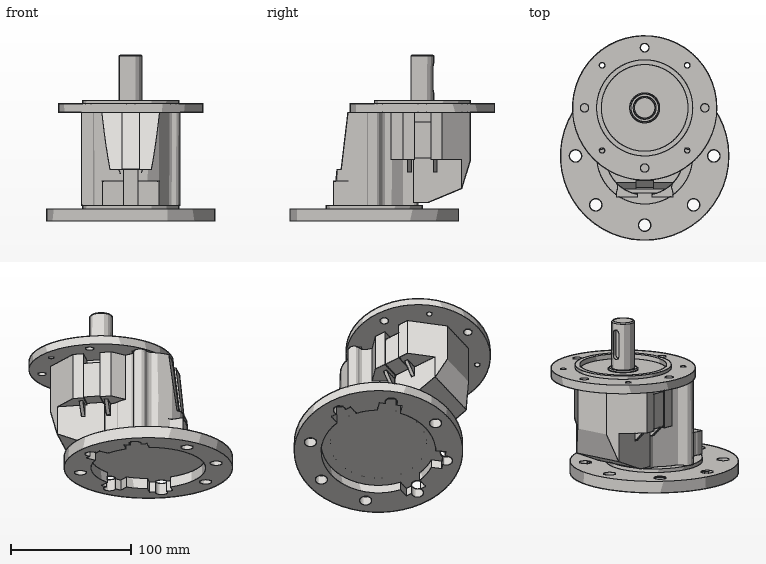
import cadquery as cq
import math

OVERALL_LENGTH = 170.0
BASE_DIAMETER = 140.0
BASE_THICKNESS = 10.0
PILOT_DIAMETER = 79.9
BASE_PILOT_TOP = 13.1
BASE_BOLT_CIRCLE = 115.0
BASE_BOLT_HOLE = 10.0
BASE_BOLT_COUNT = 8
BASE_RECESS_DIAMETER = 95.2
BASE_RECESS_DEPTH = 9.0
BASE_SLOT_WIDTH = 19.4
BASE_SLOT_REACH = 55.2
BASE_SLOT_ANGLES = (0, 45, 135, 180)

TOP_DIAMETER = 120.0
TOP_FLANGE_BOTTOM = 90.3
TOP_FLANGE_TOP = 97.5
TOP_PILOT_TOP = 100.3
RECESS_DIAMETER = 72.0
RECESS_DEPTH = 4.0
TOP_BOLT_CIRCLE = 100.0
TOP_BOLT_HOLE = 7.0
TOP_SCREW_HOLE = 4.5
TOP_HOLE_COUNT = 4
AXIS_OFFSET = OVERALL_LENGTH - (BASE_DIAMETER + TOP_DIAMETER) / 2
RECESS_FLOOR = TOP_PILOT_TOP - RECESS_DEPTH

SHAFT_TOP = 138.0
SHAFT_DIAMETER = 19.0
SHAFT_CHAMFER = 1.0
COLLAR_DIAMETER = 25.0
COLLAR_HEIGHT = 1.5
COLLAR_CHAMFER = 1.0
KEYWAY_WIDTH = 6.0
KEYWAY_LENGTH = 25.0
KEYWAY_DEPTH = 3.5
KEYWAY_TOP_GAP = 6.6

COLUMN_RADIUS = 32.5
SIDE_BOSS_DIAMETER = 10.7
SIDE_BOSS_OFFSET = 35.7
SIDE_BOSS_FILLET = 6.8
PEDESTAL_WIDTH = 42.8
PEDESTAL_BACK = 36.4
PEDESTAL_FILLET = 11.0
PEDESTAL_CORNER = 5.3

CASE_WIDTH = 78.9
CASE_BACK = AXIS_OFFSET + PILOT_DIAMETER / 2
CASE_BACK_CHAMFER = 23.8
CASE_FRONT = 13.6
CASE_FRONT_CHAMFER = 10.2
CASE_BOTTOM = 51.0
SLOT_FRONT = 33.3
SLOT_BACK = 47.3
PAD_WIDTH = 76.5
PAD_BOTTOM = 52.2
PAD_TOP = 82.1

SUMP_WIDTH = 46.2
SUMP_FRONT = 32.6
SUMP_BOTTOM = 15.3
SUMP_FLOOR_BACK = 44.7
SUMP_KNEE_BACK = 72.8
SUMP_KNEE_HEIGHT = 27.0
SUMP_BACK_HEIGHT = 50.3
GUSSET_SPACING = 21.2
GUSSET_THICKNESS = 3.0
GUSSET_HEIGHT = 10.2

TAPER_TOP_FRONT = 22.0
TAPER_FOOT_FRONT = 27.5
LEDGE_FRONT = 31.0
LEDGE_HEIGHT = 43.0
LOWER_TAPER_SLOPE = 0.1
UPPER_GROOVE_WIDTH = 14.3
UPPER_GROOVE_DEPTH = 1.5
UPPER_GROOVE_SILL = 0.3
LOWER_GROOVE_WIDTH = 12.0
FOOT_WIDTH = 47.0
FOOT_FRONT = 34.0
FOOT_TOP = 33.2
FOOT_WAIST_WIDTH = 44.9
FOOT_WAIST_FRONT = 25.8
FOOT_ROOT_FRONT = 21.8
FOOT_FLARE_WIDTH = 46.2
FOOT_FLARE_BACK = 28.7
FOOT_FLARE_FRONT = 30.8


def disc(diameter, bottom, top, center_y=0.0):
    """Upright cylinder between two heights."""
    return cq.Workplane("XY", origin=(0, center_y, bottom)).circle(diameter / 2).extrude(top - bottom)


def block(width, front, back, bottom, top):
    """Box centred on X, between two Y positions and two heights."""
    size = (width, back - front, top - bottom)
    return cq.Workplane("XY", origin=(0, front, bottom)).box(*size, centered=(True, False, False))


def side_prism(points, width):
    """Prism centred on X from a (Y, Z) outline."""
    return cq.Workplane("YZ").polyline(points).close().extrude(width / 2, both=True)


def hole_ring(circle_diameter, hole_diameter, count, start_angle, bottom, top, center_y=0.0):
    """Cutters for a ring of equally spaced vertical holes."""
    return (
        cq.Workplane("XY", origin=(0, center_y, bottom))
        .polarArray(circle_diameter / 2, start_angle, 360, count)
        .circle(hole_diameter / 2)
        .extrude(top - bottom)
    )


def make_base_recess():
    """Cutter for the round underside recess and the slots running out to some bolt holes."""
    recess = disc(BASE_RECESS_DIAMETER, 0, BASE_RECESS_DEPTH)
    slot = cq.Workplane("XY").box(
        BASE_SLOT_REACH, BASE_SLOT_WIDTH, BASE_RECESS_DEPTH, centered=(False, True, False)
    )
    for angle in BASE_SLOT_ANGLES:
        recess = recess.union(slot.rotate((0, 0, 0), (0, 0, 1), angle))
    return recess


def make_base_flange():
    """Round mounting flange with a raised pilot and a recessed underside."""
    flange = disc(BASE_DIAMETER, 0, BASE_THICKNESS).union(disc(PILOT_DIAMETER, BASE_THICKNESS, BASE_PILOT_TOP))
    flange = flange.cut(make_base_recess())
    return flange.cut(hole_ring(BASE_BOLT_CIRCLE, BASE_BOLT_HOLE, BASE_BOLT_COUNT, 0, 0, BASE_THICKNESS))


def vertical_edges_at(solid, x, y):
    """Vertical edges of the column close to a point in plan."""
    reach = 0.8
    near = (x - reach, y - reach, BASE_PILOT_TOP)
    far = (x + reach, y + reach, TOP_FLANGE_BOTTOM)
    return solid.edges("|Z").edges(cq.selectors.BoxSelector(near, far))


def make_column():
    """Cylinder with a rounded boss on each side and a pedestal at the back."""
    column = disc(2 * COLUMN_RADIUS, BASE_PILOT_TOP, TOP_FLANGE_BOTTOM)
    pedestal = block(PEDESTAL_WIDTH, 0, PEDESTAL_BACK, BASE_PILOT_TOP, TOP_FLANGE_BOTTOM)
    column = column.union(pedestal.edges("|Z and >Y").fillet(PEDESTAL_CORNER))
    side_boss = disc(SIDE_BOSS_DIAMETER, BASE_PILOT_TOP, TOP_FLANGE_BOTTOM)
    for side in (-1, 1):
        column = column.union(side_boss.translate((side * SIDE_BOSS_OFFSET, 0, 0)))

    boss_x = (SIDE_BOSS_OFFSET**2 + COLUMN_RADIUS**2 - (SIDE_BOSS_DIAMETER / 2) ** 2) / (2 * SIDE_BOSS_OFFSET)
    boss_y = math.sqrt(COLUMN_RADIUS**2 - boss_x**2)
    pedestal_x = PEDESTAL_WIDTH / 2
    pedestal_y = math.sqrt(COLUMN_RADIUS**2 - pedestal_x**2)
    for side in (-1, 1):
        column = vertical_edges_at(column, side * pedestal_x, pedestal_y).fillet(PEDESTAL_FILLET)
        for end in (-1, 1):
            column = vertical_edges_at(column, side * boss_x, end * boss_y).fillet(SIDE_BOSS_FILLET)
    return column


def shape_column_front(column):
    """Cut the tapered front face, its ledge and the two central grooves."""
    clear = COLUMN_RADIUS + 1.7
    lower_taper_end = LEDGE_HEIGHT - (clear - LEDGE_FRONT) / LOWER_TAPER_SLOPE
    groove_bottom = LEDGE_HEIGHT + UPPER_GROOVE_SILL
    taper = [
        (-clear, TOP_FLANGE_BOTTOM),
        (-TAPER_TOP_FRONT, TOP_FLANGE_BOTTOM),
        (-TAPER_FOOT_FRONT, LEDGE_HEIGHT),
        (-LEDGE_FRONT, LEDGE_HEIGHT),
        (-clear, lower_taper_end),
    ]
    upper_groove = [
        (-clear, TOP_FLANGE_BOTTOM),
        (UPPER_GROOVE_DEPTH - TAPER_TOP_FRONT, TOP_FLANGE_BOTTOM),
        (UPPER_GROOVE_DEPTH - TAPER_FOOT_FRONT, groove_bottom),
        (-clear, groove_bottom),
    ]
    lower_groove = block(LOWER_GROOVE_WIDTH, -clear, -LEDGE_FRONT, BASE_PILOT_TOP, LEDGE_HEIGHT)
    column = column.cut(side_prism(taper, 2 * COLUMN_RADIUS))
    return column.cut(side_prism(upper_groove, UPPER_GROOVE_WIDTH)).cut(lower_groove)


def make_feet():
    """Pair of blocks at the foot of the column, with hollowed outer sides."""
    root_x = math.sqrt(COLUMN_RADIUS**2 - FOOT_ROOT_FRONT**2)
    feet = (
        cq.Workplane("XY", origin=(0, 0, BASE_PILOT_TOP))
        .moveTo(LOWER_GROOVE_WIDTH / 2, -FOOT_ROOT_FRONT)
        .lineTo(LOWER_GROOVE_WIDTH / 2, -FOOT_FRONT)
        .lineTo(FOOT_WIDTH / 2, -FOOT_FRONT)
        .lineTo(FOOT_WIDTH / 2, -FOOT_FLARE_FRONT)
        .lineTo(FOOT_FLARE_WIDTH / 2, -FOOT_FLARE_BACK)
        .threePointArc((FOOT_WAIST_WIDTH / 2, -FOOT_WAIST_FRONT), (root_x, -FOOT_ROOT_FRONT))
        .close()
        .extrude(FOOT_TOP - BASE_PILOT_TOP)
    )
    return feet.union(feet.mirror("YZ"))


def plan_with_chamfered_back(half_width, front_points):
    """Symmetric (X, Y) outline ending at the case back between its 45 degree chamfers."""
    back_x = CASE_WIDTH / 2 - CASE_BACK_CHAMFER
    side_y = CASE_BACK - (half_width - back_x)
    right = front_points + [(half_width, side_y), (back_x, CASE_BACK)]
    left = [(-x, y) for x, y in reversed(right)]
    return cq.Workplane("XY").polyline(right + left).close()


def make_case():
    """Gear case with chamfered corners and a padded slot on each side."""
    half = CASE_WIDTH / 2
    front_points = [
        (half - CASE_FRONT_CHAMFER, CASE_FRONT),
        (half, CASE_FRONT + CASE_FRONT_CHAMFER),
    ]
    plan = plan_with_chamfered_back(half, front_points)
    case = plan.extrude(TOP_FLANGE_BOTTOM - CASE_BOTTOM).translate((0, 0, CASE_BOTTOM))
    slot = block(CASE_WIDTH, SLOT_FRONT, SLOT_BACK, CASE_BOTTOM, TOP_FLANGE_BOTTOM)
    core = block(SUMP_WIDTH, SLOT_FRONT, SLOT_BACK, CASE_BOTTOM, TOP_FLANGE_BOTTOM)
    pads = block(PAD_WIDTH, SLOT_FRONT, SLOT_BACK, PAD_BOTTOM, PAD_TOP)
    return case.cut(slot).union(core).union(pads)


def make_sump():
    """Narrow lower case with a sloping underside."""
    plan = plan_with_chamfered_back(SUMP_WIDTH / 2, [(SUMP_WIDTH / 2, SUMP_FRONT)])
    profile = [
        (SUMP_FRONT, CASE_BOTTOM),
        (SUMP_FRONT, SUMP_BOTTOM),
        (SUMP_FLOOR_BACK, SUMP_BOTTOM),
        (SUMP_KNEE_BACK, SUMP_KNEE_HEIGHT),
        (CASE_BACK, SUMP_BACK_HEIGHT),
        (CASE_BACK, CASE_BOTTOM),
    ]
    return plan.extrude(CASE_BOTTOM).intersect(side_prism(profile, SUMP_WIDTH))


def make_gusset(center_y):
    """45 degree web joining both sides of the sump to the case underside."""
    foot_x = SUMP_WIDTH / 2
    foot_z = CASE_BOTTOM - GUSSET_HEIGHT
    top_x = foot_x + GUSSET_HEIGHT
    points = [(-top_x, CASE_BOTTOM), (-foot_x, foot_z), (foot_x, foot_z), (top_x, CASE_BOTTOM)]
    web = cq.Workplane("XZ", origin=(0, center_y, 0)).polyline(points).close()
    return web.extrude(GUSSET_THICKNESS / 2, both=True)


def make_top_flange():
    """Round flange with a raised pilot, a shallow recess and two hole rings."""
    flange = disc(TOP_DIAMETER, TOP_FLANGE_BOTTOM, TOP_FLANGE_TOP, AXIS_OFFSET)
    flange = flange.union(disc(PILOT_DIAMETER, TOP_FLANGE_TOP, TOP_PILOT_TOP, AXIS_OFFSET))
    flange = flange.cut(disc(RECESS_DIAMETER, RECESS_FLOOR, TOP_PILOT_TOP, AXIS_OFFSET))
    for hole_diameter, start_angle in ((TOP_BOLT_HOLE, 0), (TOP_SCREW_HOLE, 45)):
        holes = hole_ring(
            TOP_BOLT_CIRCLE,
            hole_diameter,
            TOP_HOLE_COUNT,
            start_angle,
            TOP_FLANGE_BOTTOM,
            TOP_FLANGE_TOP,
            AXIS_OFFSET,
        )
        flange = flange.cut(holes)
    return flange


def make_housing():
    """Column, feet, gear case, sump and top flange as one casting."""
    housing = shape_column_front(make_column()).union(make_feet())
    housing = housing.union(make_case()).union(make_sump())
    for side in (-1, 1):
        housing = housing.union(make_gusset(AXIS_OFFSET + side * GUSSET_SPACING / 2))
    return housing.union(make_top_flange())


def make_shaft():
    """Keyed shaft whose chamfered collar rests on the recess floor."""
    shaft = disc(SHAFT_DIAMETER, RECESS_FLOOR, SHAFT_TOP, AXIS_OFFSET).faces(">Z").chamfer(SHAFT_CHAMFER)
    collar = disc(COLLAR_DIAMETER, RECESS_FLOOR, RECESS_FLOOR + COLLAR_HEIGHT, AXIS_OFFSET)
    shaft = shaft.union(collar.faces(">Z").chamfer(COLLAR_CHAMFER))
    keyway_floor = AXIS_OFFSET + SHAFT_DIAMETER / 2 - KEYWAY_DEPTH
    keyway_center = SHAFT_TOP - KEYWAY_TOP_GAP - KEYWAY_LENGTH / 2
    keyway = (
        cq.Workplane("XZ", origin=(0, keyway_floor, keyway_center))
        .slot2D(KEYWAY_LENGTH, KEYWAY_WIDTH, 90)
        .extrude(-SHAFT_DIAMETER)
    )
    return shaft.cut(keyway)


base_flange = make_base_flange()
housing = make_housing()
shaft = make_shaft()

result = cq.Compound.makeCompound([base_flange.val(), housing.val(), shaft.val()])